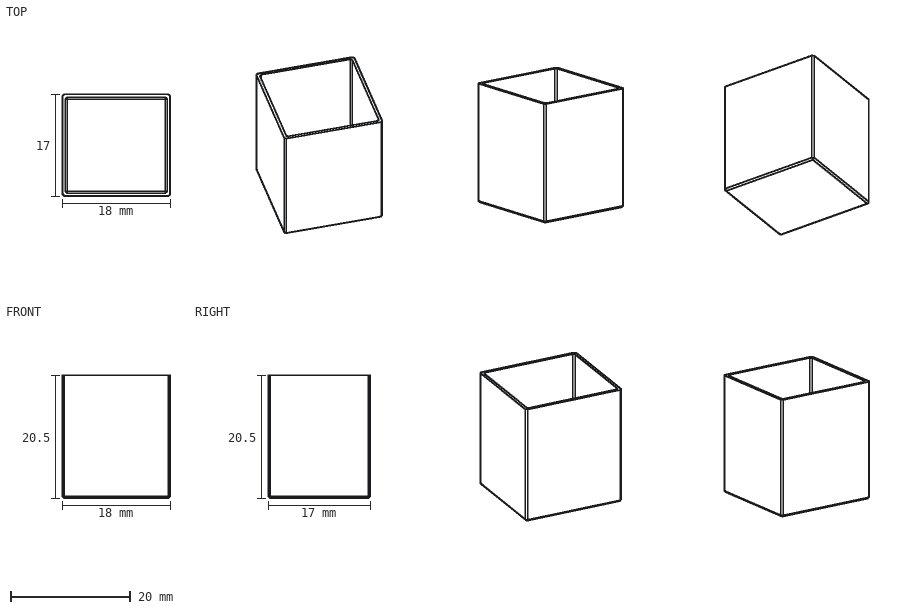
import cadquery as cq

length_x = 18.0
width_y = 17.0
height_z = 20.5

wall = 0.5
floor = wall
edge_chamfer = 0.3


def chamfered_block(size_x, size_y, size_z, bottom_z):
    """Upright block with chamfered vertical edges and a chamfered bottom rim."""
    block = cq.Workplane("XY").workplane(offset=bottom_z).rect(size_x, size_y).extrude(size_z)
    return block.edges("|Z or <Z").chamfer(edge_chamfer)


outer = chamfered_block(length_x, width_y, height_z, 0)
cavity = chamfered_block(length_x - 2 * wall, width_y - 2 * wall, height_z - floor, floor)

result = outer.cut(cavity)